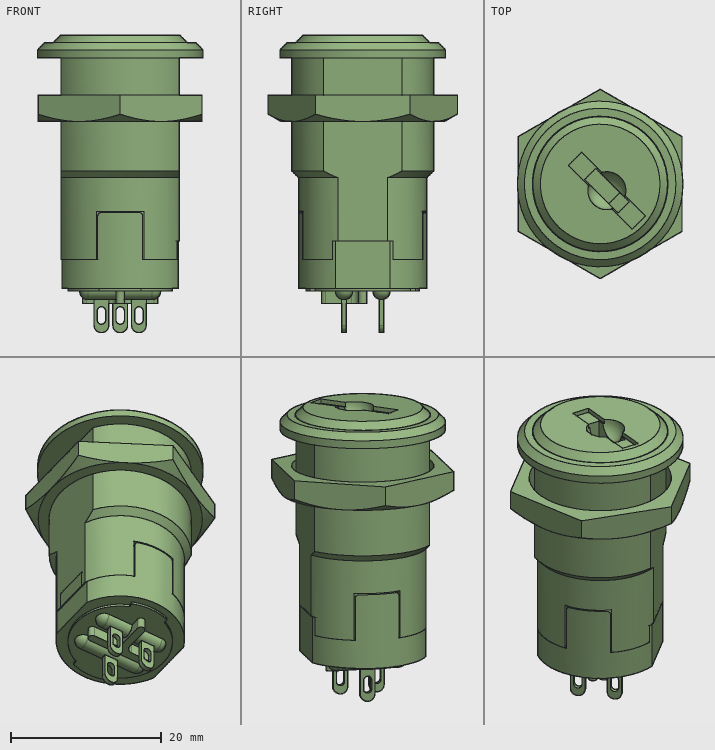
import cadquery as cq
import math

TOTAL_HEIGHT = 39.5
FLANGE_TOP = 38.5
FLANGE_EDGE_TOP = 37.55
FLANGE_BOTTOM = 36.5
NUT_TOP = 31.55
NUT_BOTTOM = 28.05
STEP_TOP = 21.5
HOUSING_BOTTOM = 9.7
BASE_BOTTOM = 5.9
PLATE_BOTTOM = 5.53
DIVIDER_BOTTOM = 3.87

FLANGE_DIAMETER = 22.0
FLANGE_RADIUS = FLANGE_DIAMETER / 2
BARREL_RADIUS = 9.45
SKIRT_RADIUS = 8.55
HOUSING_FLAT = 7.85
STEP_BOTTOM = STEP_TOP - (BARREL_RADIUS - SKIRT_RADIUS)
FLANGE_TOP_RADIUS = FLANGE_RADIUS - (FLANGE_TOP - FLANGE_EDGE_TOP)

ROTOR_RADIUS = 8.93
ROTOR_GAP = 0.08
ROTOR_CHAMFER = TOTAL_HEIGHT - FLANGE_TOP
STEM_RADIUS = 6.32
STEM_LENGTH = 4.75
ROTOR_ANGLE = -45.0

SLOT_OFFSET = 1.25
SLOT_LENGTH = 11.95
SLOT_WIDTH = 2.5
SLOT_DEPTH = 0.6
KEYWAY_LENGTH = 6.3
KEYWAY_WIDTH = 2.1
KEYWAY_DEPTH = 3.95
KEYWAY_LEDGE_LENGTH = 1.75
KEYWAY_LEDGE_DEPTH = 3.15
FINGER_RADIUS = 2.53

NUT_ACROSS_CORNERS = 25.15
NUT_ACROSS_FLATS = NUT_ACROSS_CORNERS * math.cos(math.radians(30))
NUT_CHAMFER_ANGLE = 30.0

BASE_FLAT = 7.75
LATCH_WIDTH = 5.95
LATCH_TOP = 15.95
LATCH_GAP = 0.15
LATCH_CORNER = 0.47
KEY_TAB_TOP = 12.2
NARROW_KEY_WIDTH = 5.1
WIDE_KEY_WIDTH = 8.05
NOTCH_FLOOR = 6.7
PLATE_RADIUS = 6.95
PLATE_LUG_RADIUS = 7.55
PLATE_LUG_WIDTH = 5.55

DIVIDER_THICKNESS = 1.1
DIVIDER_HALF_LENGTH = 5.0
DIVIDER_RIB_LENGTH = 5.5
DIVIDER_FILLET = 0.9

TERMINAL_PITCH = 2.5
TERMINAL_WIDTH = 1.98
TERMINAL_THICKNESS = 0.65
EYE_WIDTH = 1.1
EYE_BOTTOM = 1.15
EYE_TOP = 3.45
CONTACT_ROW_Y = 2.5
BEAD_RADIUS = 1.15
BEAD_LENGTH = 10.8


def cylinder(radius, bottom, top):
    return cq.Workplane("XY").workplane(offset=bottom).circle(radius).extrude(top - bottom)


def block(x_min, x_max, y_min, y_max, z_min, z_max):
    size = (x_max - x_min, y_max - y_min, z_max - z_min)
    return cq.Workplane("XY").box(*size, centered=False).translate((x_min, y_min, z_min))


def revolved(profile):
    """Turn a closed (radius, height) profile about the Z axis."""
    return cq.Workplane("XZ").polyline(profile).close().revolve(360, (0, 0, 0), (0, 1, 0))


def flatted(radius, flat, bottom, top):
    """Cylinder with a flat on its -X side and on its +X side."""
    return cylinder(radius, bottom, top).intersect(block(-flat, flat, -radius, radius, bottom, top))


def key_block(direction, width):
    """Block for a tab on the -X (direction -1) or +X (direction 1) flat."""
    x_min, x_max = sorted((direction * NOTCH_FLOOR, direction * SKIRT_RADIUS))
    return block(x_min, x_max, -width / 2, width / 2, HOUSING_BOTTOM, KEY_TAB_TOP)


def latch_block(direction, clearance):
    """Block for a latch on the -Y or +Y side, grown by a clearance at its sides and top."""
    y_min, y_max = sorted((direction * NOTCH_FLOOR, direction * SKIRT_RADIUS))
    half = LATCH_WIDTH / 2 + clearance
    return block(-half, half, y_min, y_max, HOUSING_BOTTOM, LATCH_TOP + clearance)


def make_rotor():
    head_bottom = FLANGE_EDGE_TOP
    body = cylinder(ROTOR_RADIUS, head_bottom, TOTAL_HEIGHT).faces(">Z").chamfer(ROTOR_CHAMFER)
    body = body.union(cylinder(STEM_RADIUS, head_bottom - STEM_LENGTH, head_bottom))

    def cut(start, length, width, depth):
        return block(start, start + length, -width / 2, width / 2, TOTAL_HEIGHT - depth, TOTAL_HEIGHT)

    keyway_start = SLOT_OFFSET - KEYWAY_LENGTH / 2
    cuts = cut(SLOT_OFFSET - SLOT_LENGTH / 2, SLOT_LENGTH, SLOT_WIDTH, SLOT_DEPTH)
    cuts = cuts.union(cut(keyway_start, KEYWAY_LENGTH, KEYWAY_WIDTH, KEYWAY_LEDGE_DEPTH))
    cuts = cuts.union(cut(keyway_start, KEYWAY_LENGTH - KEYWAY_LEDGE_LENGTH, KEYWAY_WIDTH, KEYWAY_DEPTH))
    cuts = cuts.union(cq.Workplane("XY").sphere(FINGER_RADIUS).translate((SLOT_OFFSET, 0, TOTAL_HEIGHT)))
    return body.cut(cuts.rotate((0, 0, 0), (0, 0, 1), ROTOR_ANGLE))


def make_housing():
    flange = revolved([
        (0, FLANGE_BOTTOM),
        (FLANGE_RADIUS, FLANGE_BOTTOM),
        (FLANGE_RADIUS, FLANGE_EDGE_TOP),
        (FLANGE_TOP_RADIUS, FLANGE_TOP),
        (0, FLANGE_TOP),
    ])
    barrel = revolved([
        (0, HOUSING_BOTTOM),
        (SKIRT_RADIUS, HOUSING_BOTTOM),
        (SKIRT_RADIUS, STEP_BOTTOM),
        (BARREL_RADIUS, STEP_TOP),
        (BARREL_RADIUS, FLANGE_BOTTOM),
        (0, FLANGE_BOTTOM),
    ])
    between_flats = block(
        -HOUSING_FLAT, HOUSING_FLAT, -BARREL_RADIUS, BARREL_RADIUS, HOUSING_BOTTOM, FLANGE_BOTTOM
    )
    body = flange.union(barrel.intersect(between_flats))

    body = body.cut(cylinder(ROTOR_RADIUS + ROTOR_GAP, FLANGE_EDGE_TOP, FLANGE_TOP))
    body = body.cut(cylinder(STEM_RADIUS, FLANGE_EDGE_TOP - STEM_LENGTH, FLANGE_EDGE_TOP))

    for direction in (-1, 1):
        body = body.cut(latch_block(direction, LATCH_GAP))
    body = body.cut(key_block(-1, NARROW_KEY_WIDTH))
    return body.cut(key_block(1, WIDE_KEY_WIDTH))


def make_nut():
    thickness = NUT_TOP - NUT_BOTTOM
    hexagon = (
        cq.Workplane("XY").workplane(offset=NUT_BOTTOM)
        .polygon(6, NUT_ACROSS_CORNERS).extrude(thickness)
        .rotate((0, 0, 0), (0, 0, 1), 30)
    )
    cone_rise = thickness * math.tan(math.radians(90 - NUT_CHAMFER_ANGLE))
    cone = revolved([
        (0, NUT_BOTTOM),
        (NUT_ACROSS_FLATS / 2, NUT_BOTTOM),
        (NUT_ACROSS_FLATS / 2 + cone_rise, NUT_TOP),
        (0, NUT_TOP),
    ])
    return hexagon.intersect(cone).cut(cylinder(BARREL_RADIUS, NUT_BOTTOM, NUT_TOP))


def make_divider():
    """T-shaped wall with rounded ends and filleted inner corners."""
    half = DIVIDER_THICKNESS / 2
    sketch = cq.Workplane("XY").workplane(offset=DIVIDER_BOTTOM)
    height = PLATE_BOTTOM - DIVIDER_BOTTOM
    wall = sketch.slot2D(2 * DIVIDER_HALF_LENGTH, DIVIDER_THICKNESS).extrude(height)
    rib_length = DIVIDER_RIB_LENGTH + half
    rib = (
        sketch.center(0, half - rib_length / 2)
        .slot2D(rib_length, DIVIDER_THICKNESS, 90).extrude(height)
    )
    inner_corners = cq.selectors.BoxSelector(
        (-DIVIDER_THICKNESS, -DIVIDER_THICKNESS, DIVIDER_BOTTOM), (DIVIDER_THICKNESS, 0, PLATE_BOTTOM)
    )
    return wall.union(rib).edges("|Z").edges(inner_corners).fillet(DIVIDER_FILLET)


def make_base():
    body = flatted(SKIRT_RADIUS, BASE_FLAT, BASE_BOTTOM, HOUSING_BOTTOM)

    tabs = key_block(1, WIDE_KEY_WIDTH)
    for direction in (-1, 1):
        latch = latch_block(direction, 0)
        tabs = tabs.union(latch.edges("|Y and >Z").fillet(LATCH_CORNER))
    body = body.union(tabs.intersect(flatted(SKIRT_RADIUS, BASE_FLAT, HOUSING_BOTTOM, LATCH_TOP)))

    narrow_tab = key_block(-1, NARROW_KEY_WIDTH)
    body = body.union(narrow_tab.intersect(flatted(SKIRT_RADIUS, HOUSING_FLAT, HOUSING_BOTTOM, KEY_TAB_TOP)))

    body = body.union(cylinder(PLATE_RADIUS, PLATE_BOTTOM, BASE_BOTTOM))
    body = body.union(flatted(PLATE_LUG_RADIUS, PLATE_LUG_WIDTH / 2, PLATE_BOTTOM, BASE_BOTTOM))
    return body.union(make_divider())


def make_terminal(x):
    """Flat blade with a round tip and an oblong eye, centred on Y = 0."""
    tip_radius = TERMINAL_WIDTH / 2
    blade = (
        cq.Workplane("XZ").moveTo(x - tip_radius, PLATE_BOTTOM)
        .lineTo(x - tip_radius, tip_radius)
        .threePointArc((x, 0), (x + tip_radius, tip_radius))
        .lineTo(x + tip_radius, PLATE_BOTTOM)
        .close().extrude(TERMINAL_THICKNESS / 2, both=True)
    )
    eye = (
        cq.Workplane("XZ").center(x, (EYE_BOTTOM + EYE_TOP) / 2)
        .slot2D(EYE_TOP - EYE_BOTTOM, EYE_WIDTH, 90).extrude(TERMINAL_THICKNESS, both=True)
    )
    return blade.cut(eye)


def make_contact(row_y, terminal_positions):
    """Half-round bead under the plate, with the terminals that hang from it."""
    straight_end = BEAD_LENGTH / 2 - BEAD_RADIUS
    outline = (
        cq.Workplane("XY").moveTo(-BEAD_LENGTH / 2, 0)
        .radiusArc((-straight_end, BEAD_RADIUS), BEAD_RADIUS)
        .lineTo(straight_end, BEAD_RADIUS)
        .radiusArc((BEAD_LENGTH / 2, 0), BEAD_RADIUS)
        .close()
    )
    bead = outline.revolve(180, (0, 0, 0), (-1, 0, 0))
    contact = bead.translate((0, 0, PLATE_BOTTOM))
    for x in terminal_positions:
        contact = contact.union(make_terminal(x))
    return contact.translate((0, row_y, 0))


rotor = make_rotor()
housing = make_housing()
nut = make_nut()
contacts = [
    make_contact(row_y, positions)
    for row_y, positions in (
        (-CONTACT_ROW_Y, (-TERMINAL_PITCH, TERMINAL_PITCH)),
        (CONTACT_ROW_Y, (0,)),
    )
]
base = make_base()
for contact in contacts:
    base = base.cut(contact)

result = cq.Compound.makeCompound(
    [rotor.val(), housing.val(), nut.val(), base.val(), *[contact.val() for contact in contacts]]
)